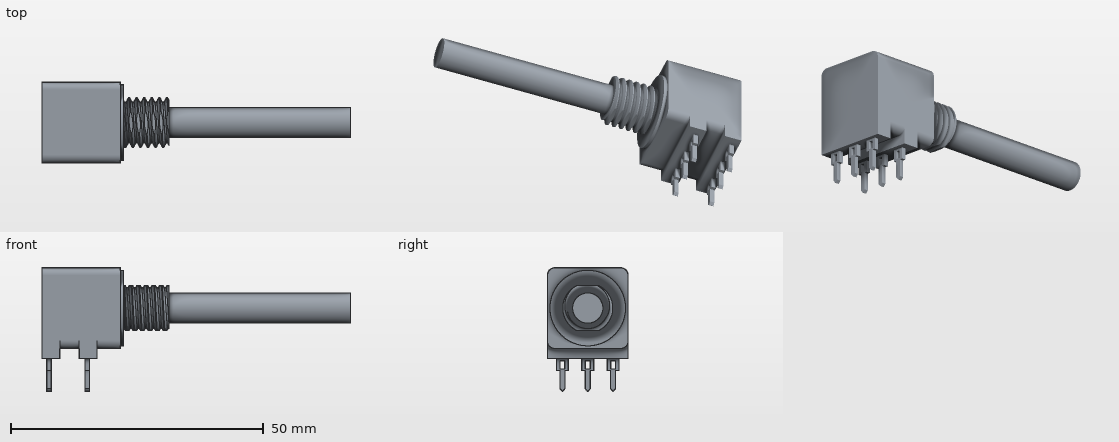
import cadquery as cq


housing_width = 16.0
housing_length = 15.5
corner_radius = 1.5

foot_length = 3.55
foot_starts = (0, 7.4)
foot_bottom = -10.0

plate_diameter = 15.0
plate_end = 16.2
thread_end = 25.2
thread_root_diameter = 8.1
thread_crest_diameter = 9.9
thread_turns = 6
thread_pitch = (thread_end - plate_end) / thread_turns
thread_crest_width = thread_pitch / 8
thread_root_width = thread_pitch * 3 / 4
thread_crest_shift = 0.4
thread_overrun = 2 * thread_pitch
thread_overlap = 0.05
bushing_flat_width = 8.85
shaft_diameter = 6.0
shaft_end = 61.1

pin_first_x = 1.4
pin_row_spacing = 7.6
pin_spacing = 5.0
pin_thickness = 0.9
pin_bottom = -16.5
pin_head_width = 2.4
pin_head_height = 2.4
pin_width = 1.05
pin_tip_width = 0.05
pin_tip_height = 0.55
pin_eye_width = 0.9
pin_eye_height = 1.6
pin_eye_offset = 0.4


def cylinder(diameter, start, end):
    """Cylinder along the shaft axis between two X positions."""
    return cq.Workplane("YZ", origin=(start, 0, 0)).circle(diameter / 2).extrude(end - start)


def make_housing():
    box = cq.Workplane("XY").box(housing_length, housing_width, housing_width, centered=(False, True, True))
    return box.edges("|X").fillet(corner_radius)


def make_foot(start):
    foot_top = corner_radius - housing_width / 2
    return cq.Workplane("XY", origin=(start, 0, foot_bottom)).box(
        foot_length, housing_width, foot_top - foot_bottom, centered=(False, True, False)
    )


def make_bushing():
    """Threaded bushing: a core with a helical ridge, flattened above and below."""
    core_radius = thread_root_diameter / 2
    ridge_base = core_radius - thread_overlap
    crest_radius = thread_crest_diameter / 2
    bushing_length = thread_end - plate_end

    ridge_start = plate_end - thread_overrun
    ridge_length = bushing_length + 2 * thread_overrun
    helix = cq.Wire.makeHelix(thread_pitch, ridge_length, core_radius)
    flank_slope = (thread_root_width - thread_crest_width) / 2 / (crest_radius - core_radius)
    base_half = thread_root_width / 2 + thread_overlap * flank_slope
    crest_half = thread_crest_width / 2
    profile = [
        (ridge_base, -base_half),
        (crest_radius, -crest_half),
        (crest_radius, crest_half),
        (ridge_base, base_half),
    ]
    ridge = cq.Workplane("XZ").polyline(profile).close().sweep(cq.Workplane(obj=helix), isFrenet=True)
    ridge = ridge.rotate((0, 0, 0), (0, 0, 1), 360 * thread_crest_shift / thread_pitch)
    ridge = ridge.rotate((0, 0, 0), (1, 1, 1), 120).translate((ridge_start, 0, 0))

    envelope = cq.Workplane("XY", origin=(plate_end, 0, 0)).box(
        bushing_length, 2 * thread_crest_diameter, bushing_flat_width, centered=(False, True, True)
    )
    core = cylinder(thread_root_diameter, plate_end, thread_end)
    return core.union(ridge.intersect(envelope))


def make_pin(x, y):
    """Flat terminal: a wide head with an eye, then a narrow blade with a tapered tip."""
    head_bottom = foot_bottom - pin_head_height
    tip_top = pin_bottom + pin_tip_height
    half_outline = [
        (pin_head_width / 2, foot_bottom),
        (pin_head_width / 2, head_bottom),
        (pin_width / 2, head_bottom),
        (pin_width / 2, tip_top),
        (pin_tip_width / 2, pin_bottom),
    ]
    outline = half_outline + [(-across, z) for across, z in reversed(half_outline)]
    eye_center = foot_bottom - pin_eye_offset - pin_eye_height / 2
    plane = cq.Workplane("YZ", origin=(x - pin_thickness / 2, y, 0))
    blade = plane.polyline(outline).close().extrude(pin_thickness)
    eye = plane.center(0, eye_center).rect(pin_eye_width, pin_eye_height).extrude(pin_thickness)
    return blade.cut(eye)


result = make_housing()
for foot_start in foot_starts:
    result = result.union(make_foot(foot_start))
for pin_x in (pin_first_x, pin_first_x + pin_row_spacing):
    for pin_y in (-pin_spacing, 0, pin_spacing):
        result = result.union(make_pin(pin_x, pin_y))
result = result.union(cylinder(plate_diameter, housing_length, plate_end))
result = result.union(make_bushing())
result = result.union(cylinder(shaft_diameter, thread_end, shaft_end))